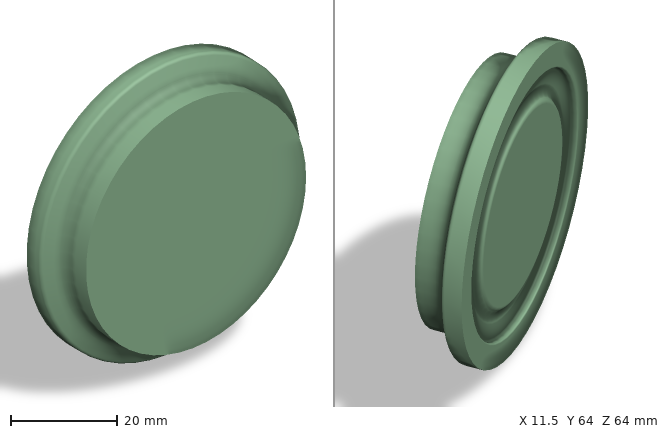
import cadquery as cq
import math

total_length = 11.5
flange_diameter = 64.0
neck_diameter = 54.0
cone_angle = 20.0
cone_neck_x = 5.85
flange_edge_fillet = 0.8
neck_fillet = 2.0

recess_diameter = 53.7
recess_depth = 1.5
recess_rim_fillet = 0.3
recess_floor_fillet = 0.4

groove_bottom_radius = 22.3
groove_arc_radius = 2.1
groove_lip_radius = 0.9
groove_inner_slope = 55.0
groove_outer_slope = 22.0


def round_corner(profile, corner, radius):
    nearest = cq.selectors.NearestToPointSelector(corner)
    profile.reset().vertices(nearest).fillet(radius).reset()


def make_body():
    """Flange, sloping back and neck, revolved about X without the recess."""
    flange_radius = flange_diameter / 2
    neck_radius = neck_diameter / 2
    cone_depth = (flange_radius - neck_radius) * math.tan(math.radians(cone_angle))
    cone_rim_x = cone_neck_x - cone_depth
    profile = cq.Sketch().polygon([
        (0, 0),
        (0, flange_radius),
        (cone_rim_x, flange_radius),
        (cone_neck_x, neck_radius),
        (total_length, neck_radius),
        (total_length, 0),
        (0, 0),
    ])
    round_corner(profile, (cone_rim_x, flange_radius, 0), flange_edge_fillet)
    round_corner(profile, (cone_neck_x, neck_radius, 0), neck_fillet)
    return cq.Workplane("XY").placeSketch(profile).revolve(360, (0, 0, 0), (1, 0, 0))


def arc_point(center_x, center_r, radius, angle):
    """Point on a circle; the angle is measured from +X toward larger distance from the axis."""
    turn = math.radians(angle)
    return (center_x + radius * math.cos(turn), center_r + radius * math.sin(turn))


def make_recess():
    """Everything removed from the flange face: the recess and the groove in its floor."""
    recess_radius = recess_diameter / 2
    reach = groove_arc_radius + groove_lip_radius
    outer_slope = math.radians(groove_outer_slope)
    inner_slope = math.radians(groove_inner_slope)

    outer_lip = (
        recess_depth + groove_lip_radius,
        groove_bottom_radius + reach * math.sin(outer_slope),
    )
    groove = (outer_lip[0] - reach * math.cos(outer_slope), groove_bottom_radius)
    inner_lip = (
        groove[0] + reach * math.cos(inner_slope),
        groove_bottom_radius - reach * math.sin(inner_slope),
    )
    disc_x = inner_lip[0] - groove_lip_radius

    rim = (recess_rim_fillet, recess_radius + recess_rim_fillet)
    corner = (recess_depth - recess_floor_fillet, recess_radius - recess_floor_fillet)
    profile = (
        cq.Workplane("XY")
        .lineTo(0, rim[1])
        .threePointArc(arc_point(*rim, recess_rim_fillet, 225), arc_point(*rim, recess_rim_fillet, 270))
        .lineTo(corner[0], recess_radius)
        .threePointArc(
            arc_point(*corner, recess_floor_fillet, 45),
            arc_point(*corner, recess_floor_fillet, 0),
        )
        .lineTo(recess_depth, outer_lip[1])
        .threePointArc(
            arc_point(*outer_lip, groove_lip_radius, 180 + groove_outer_slope / 2),
            arc_point(*outer_lip, groove_lip_radius, 180 + groove_outer_slope),
        )
        .threePointArc(
            arc_point(*groove, groove_arc_radius, 0),
            arc_point(*groove, groove_arc_radius, -groove_inner_slope),
        )
        .threePointArc(
            arc_point(*inner_lip, groove_lip_radius, 180 - groove_inner_slope / 2),
            arc_point(*inner_lip, groove_lip_radius, 180),
        )
        .lineTo(disc_x, 0)
        .close()
    )
    return profile.revolve(360, (0, 0, 0), (1, 0, 0))


result = make_body().cut(make_recess())